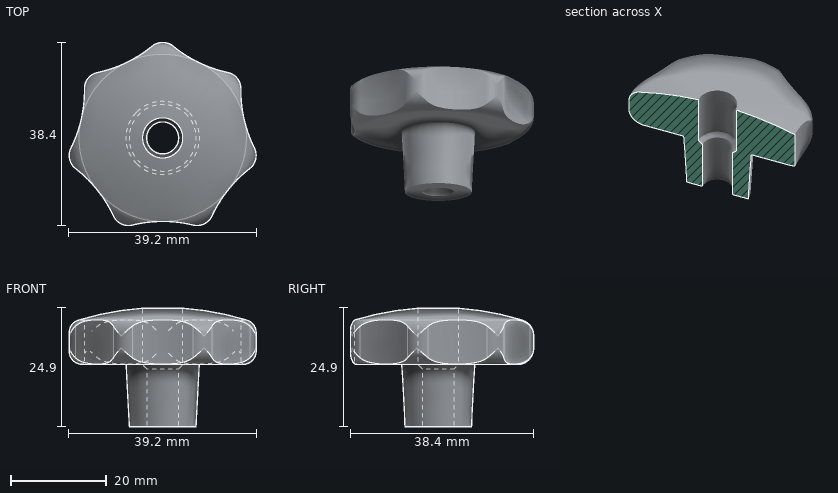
import cadquery as cq
import math

HUB_HEIGHT = 13.0
APEX_HEIGHT = 25.0

HUB_FOOT_RADIUS = 7.0
HUB_DRAFT_DEG = 3.0

HEAD_RADIUS = 20.0
DOME_RADIUS = 60.0
RIM_ROUND = 3.5
LOBE_COUNT = 7
LOBE_RADIUS = 3.5
WAIST_RADIUS = 17.5
FIRST_LOBE_DEG = 90.0

BORE_DIAMETER = 8.4
CORE_DIAMETER = 6.647
BORE_FLOOR_HEIGHT = HUB_HEIGHT
STEP_CONE_DEG = 45.0

ORIGIN = (0, 0)


def point_on_circle(center, radius, angle_deg):
    """Point on a circle, with the angle measured from the first coordinate axis."""
    angle = math.radians(angle_deg)
    return (center[0] + radius * math.cos(angle), center[1] + radius * math.sin(angle))


def head_blank():
    """Turned head: flat underside, rounded rim and a dome tangent to the rim round."""
    round_radius = HEAD_RADIUS - RIM_ROUND
    lower_center = (round_radius, HUB_HEIGHT + RIM_ROUND)
    dome_center = (0, APEX_HEIGHT - DOME_RADIUS)
    center_gap = DOME_RADIUS - RIM_ROUND
    tangent_deg = math.degrees(math.acos(round_radius / center_gap))
    upper_center = point_on_circle(dome_center, center_gap, tangent_deg)
    dome_edge = point_on_circle(dome_center, DOME_RADIUS, tangent_deg)
    dome_middle = point_on_circle(dome_center, DOME_RADIUS, (90 + tangent_deg) / 2)
    upper_middle = point_on_circle(upper_center, RIM_ROUND, tangent_deg / 2)
    lower_middle = point_on_circle(lower_center, RIM_ROUND, -45)
    profile = (
        cq.Workplane("XZ")
        .moveTo(0, HUB_HEIGHT)
        .lineTo(round_radius, HUB_HEIGHT)
        .threePointArc(lower_middle, (HEAD_RADIUS, lower_center[1]))
        .lineTo(HEAD_RADIUS, upper_center[1])
        .threePointArc(upper_middle, dome_edge)
        .threePointArc(dome_middle, (0, APEX_HEIGHT))
        .close()
    )
    return profile.revolve(360, (0, 0, 0), (0, 1, 0))


def lobe_prism():
    """Upright prism of the grip outline: convex lobes joined tangentially by hollow flutes."""
    pitch_deg = 360 / LOBE_COUNT
    half_pitch = math.radians(pitch_deg / 2)
    lobe_center_radius = HEAD_RADIUS - LOBE_RADIUS
    half_spacing = lobe_center_radius * math.sin(half_pitch)
    rise = WAIST_RADIUS - lobe_center_radius * math.cos(half_pitch)
    flute_radius = (half_spacing**2 + rise**2 - LOBE_RADIUS**2) / (2 * (LOBE_RADIUS - rise))
    flute_tilt = math.asin(half_spacing / (flute_radius + LOBE_RADIUS))
    touch_deg = math.degrees(half_pitch + flute_tilt)

    outline = None
    for index in range(LOBE_COUNT):
        lobe_deg = FIRST_LOBE_DEG + index * pitch_deg
        next_deg = lobe_deg + pitch_deg
        lobe_center = point_on_circle(ORIGIN, lobe_center_radius, lobe_deg)
        next_center = point_on_circle(ORIGIN, lobe_center_radius, next_deg)
        lobe_start = point_on_circle(lobe_center, LOBE_RADIUS, lobe_deg - touch_deg)
        lobe_tip = point_on_circle(ORIGIN, HEAD_RADIUS, lobe_deg)
        lobe_end = point_on_circle(lobe_center, LOBE_RADIUS, lobe_deg + touch_deg)
        waist = point_on_circle(ORIGIN, WAIST_RADIUS, lobe_deg + pitch_deg / 2)
        next_start = point_on_circle(next_center, LOBE_RADIUS, next_deg - touch_deg)
        if outline is None:
            outline = cq.Workplane("XY").moveTo(*lobe_start)
        outline = outline.threePointArc(lobe_tip, lobe_end).threePointArc(waist, next_start)
    return outline.close().extrude(APEX_HEIGHT)


def hub():
    """Tapered hub below the head."""
    head_end_radius = HUB_FOOT_RADIUS + HUB_HEIGHT * math.tan(math.radians(HUB_DRAFT_DEG))
    profile = (
        cq.Workplane("XZ")
        .lineTo(HUB_FOOT_RADIUS, 0)
        .lineTo(head_end_radius, HUB_HEIGHT)
        .lineTo(0, HUB_HEIGHT)
        .close()
    )
    return profile.revolve(360, (0, 0, 0), (0, 1, 0))


def stepped_bore():
    """Through bore: wide upper part, conical step and narrow lower part."""
    bore_radius = BORE_DIAMETER / 2
    core_radius = CORE_DIAMETER / 2
    step_height = (bore_radius - core_radius) / math.tan(math.radians(STEP_CONE_DEG))
    profile = (
        cq.Workplane("XZ")
        .lineTo(core_radius, 0)
        .lineTo(core_radius, BORE_FLOOR_HEIGHT - step_height)
        .lineTo(bore_radius, BORE_FLOOR_HEIGHT)
        .lineTo(bore_radius, APEX_HEIGHT)
        .lineTo(0, APEX_HEIGHT)
        .close()
    )
    return profile.revolve(360, (0, 0, 0), (0, 1, 0))


head = head_blank().intersect(lobe_prism())
result = head.union(hub()).cut(stepped_bore())